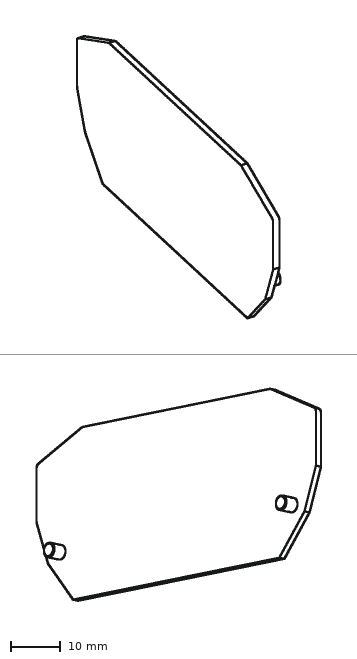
import cadquery as cq

length = 78.55
height = 35.2
thickness = 1.5
half_length = length / 2

top_half_width = 26.4
lower_corner_half_width = 36.05
bottom_half_width = 29.0

shoulder_drop = 6.0
shoulder_radius = 1.0

end_bottom_drop = 17.75
lower_corner_drop = 26.7

pin_diameter = 3.0
pin_length = 3.4
pin_half_spacing = 32.6
pin_height = 10.3
pin_chamfer = 0.2


def make_plate():
    """Flat plate with an outline symmetric about X = 0."""
    right_side = [
        (bottom_half_width, 0),
        (lower_corner_half_width, height - lower_corner_drop),
        (half_length, height - end_bottom_drop),
        (half_length, height - shoulder_drop),
        (top_half_width, height),
    ]
    left_side = [(-x, z) for x, z in reversed(right_side)]
    outline = cq.Workplane("XZ").polyline(right_side + left_side).close()
    plate = outline.extrude(-thickness)
    for x in (-half_length, half_length):
        shoulder = cq.selectors.NearestToPointSelector((x, thickness / 2, height - shoulder_drop))
        plate = plate.edges(shoulder).fillet(shoulder_radius)
    return plate


def make_pin(x):
    """Round pin with a chamfered tip, rooted in the plate's front face plane."""
    return (
        cq.Workplane("XZ")
        .center(x, pin_height)
        .circle(pin_diameter / 2)
        .extrude(-(thickness + pin_length))
        .faces(">Y")
        .chamfer(pin_chamfer)
    )


result = make_plate()
for side in (-1, 1):
    result = result.union(make_pin(side * pin_half_spacing))